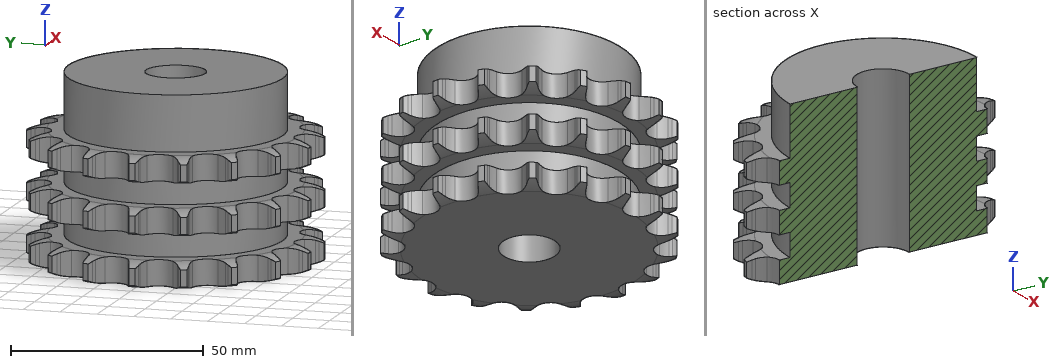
import cadquery as cq
import math

tooth_count = 18
chain_pitch = 12.7
strand_spacing = 13.9
strand_count = 3
plate_thickness = 7.0

hub_diameter = 58.0
bore_diameter = 16.0
total_height = 50.0

tip_radius = 38.9
seat_radius = 4.3
seat_half_angle = 51.7
working_radius = 11.1
working_sweep = 14.9
straight_length = 1.0
topping_radius = 7.0
topping_sweep = 25.0

side_arc_radius = chain_pitch
tip_relief = 1.25

tooth_angle = 360 / tooth_count
pitch_radius = chain_pitch / 2 / math.sin(math.pi / tooth_count)


def plate_blank():
    """Revolved toothless plate, thinner at the rim because of the side arcs."""
    side_arc_depth = math.sqrt(side_arc_radius**2 - (side_arc_radius - tip_relief) ** 2)
    flat_radius = tip_radius - side_arc_depth
    half_sweep = math.asin(side_arc_depth / side_arc_radius) / 2
    mid_radius = flat_radius + side_arc_radius * math.sin(half_sweep)
    mid_relief = side_arc_radius * (1 - math.cos(half_sweep))
    return (
        cq.Workplane("XZ")
        .lineTo(flat_radius, 0)
        .threePointArc((mid_radius, mid_relief), (tip_radius, tip_relief))
        .lineTo(tip_radius, plate_thickness - tip_relief)
        .threePointArc((mid_radius, plate_thickness - mid_relief), (flat_radius, plate_thickness))
        .lineTo(0, plate_thickness)
        .close()
        .revolve(360, (0, 0, 0), (0, 1, 0))
    )


def step(point, heading, length):
    """Point reached by a straight move along a heading in degrees."""
    angle = math.radians(heading)
    return (point[0] + length * math.cos(angle), point[1] + length * math.sin(angle))


def arc_step(point, heading, radius, turn):
    """Point reached along a tangent arc that turns the heading by the given degrees."""
    chord = 2 * radius * math.sin(math.radians(abs(turn)) / 2)
    return step(point, heading + turn / 2, chord)


def half_gap():
    """Cutter for the +Y half of one gap centred on +X, each stretch tangent to the last."""
    seat_start = (pitch_radius - seat_radius, 0)
    seat_mid = arc_step(seat_start, 90, seat_radius, -seat_half_angle / 2)
    seat_end = arc_step(seat_start, 90, seat_radius, -seat_half_angle)

    seat_heading = 90 - seat_half_angle
    working_mid = arc_step(seat_end, seat_heading, working_radius, -working_sweep / 2)
    working_end = arc_step(seat_end, seat_heading, working_radius, -working_sweep)

    flank_heading = seat_heading - working_sweep
    straight_end = step(working_end, flank_heading, straight_length)
    topping_mid = arc_step(straight_end, flank_heading, topping_radius, topping_sweep / 2)
    topping_end = arc_step(straight_end, flank_heading, topping_radius, topping_sweep)
    return (
        cq.Workplane("XY")
        .moveTo(*seat_start)
        .threePointArc(seat_mid, seat_end)
        .threePointArc(working_mid, working_end)
        .lineTo(*straight_end)
        .threePointArc(topping_mid, topping_end)
        .lineTo(topping_end[0], 0)
        .close()
        .extrude(plate_thickness)
    )


def toothed_plate():
    """One strand, with tooth centres on the +X and -X axes."""
    plate = plate_blank()
    upper_half = half_gap()
    gap = upper_half.union(upper_half.mirror("XZ"))
    for i in range(tooth_count):
        plate = plate.cut(gap.rotate((0, 0, 0), (0, 0, 1), (i + 0.5) * tooth_angle))
    return plate


result = cq.Workplane("XY").circle(hub_diameter / 2).extrude(total_height)
strand = toothed_plate()
for i in range(strand_count):
    result = result.union(strand.translate((0, 0, i * strand_spacing)))

bore = cq.Workplane("XY").circle(bore_diameter / 2).extrude(total_height)
result = result.cut(bore)